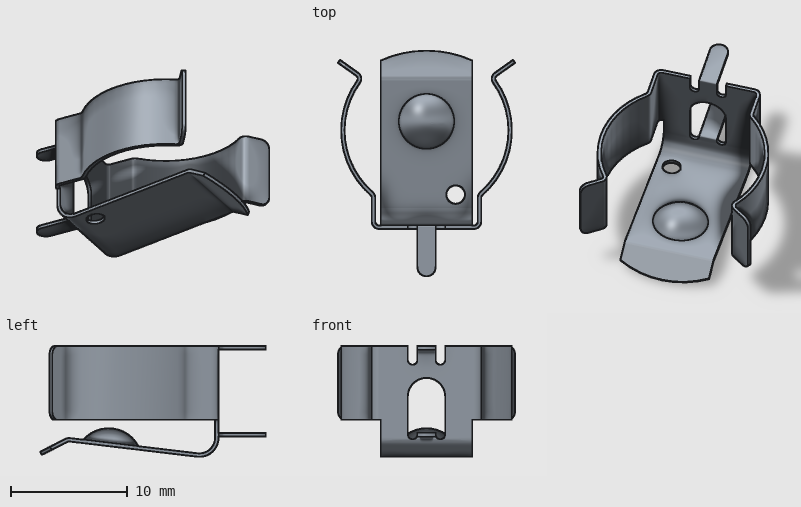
import cadquery as cq
import math

sheet = 0.315
inner_bend = 0.33
outer_bend = inner_bend + sheet

band_height = 6.35
leg_half_width = 4.70
arm_radius = 7.33
arm_centre_y = 8.46
lip_tip_x = 7.60
lip_tip_y = 14.26
lip_angle = math.radians(35.5)
lip_corner_radius = 0.76
lip_inner_bend = 0.28

strip_width = 7.874
clip_height = 9.52
strip_bend = 1.65
strip_slope = math.radians(6.8)
knee_y = 12.95
strip_end_y = 15.31
nose_slope = math.radians(27)
nose_radius = 8.6

dome_y = 9.24
dome_base_radius = 2.376
dome_height = 1.25
hole_x = 2.50
hole_y = 2.94
hole_diameter = 1.5875

tab_width = 1.5875
tab_reach = 4.05
lower_tab_z = -7.45
tab_edge_radius = 0.15
slot_width = 0.80
upper_slot_depth = 1.60
window_top_z = -2.75
lower_slot_bottom_z = -8.0

arm_inner_radius = arm_radius - sheet
bend_centre_z = strip_bend - clip_height
strip_inner_bend = strip_bend - sheet
along_strip = (math.cos(strip_slope), math.sin(strip_slope))
strip_normal = (-math.sin(strip_slope), math.cos(strip_slope))
along_nose = (math.cos(nose_slope), -math.sin(nose_slope))
nose_normal = (math.sin(nose_slope), math.cos(nose_slope))
window_half_width = tab_width / 2 + slot_width


def move(point, direction, distance):
    """Point reached by going a distance along a unit direction."""
    return (point[0] + distance * direction[0], point[1] + distance * direction[1])


def strip_top(y):
    """Point on the upper face of the sloping strip at a given Y."""
    start = move((strip_bend, bend_centre_z), strip_normal, -strip_inner_bend)
    return move(start, along_strip, (y - start[0]) / along_strip[0])


def arm_point(radius, x):
    """Point on the rear half of an arm circle."""
    return (x, arm_centre_y - math.sqrt(radius**2 - x**2))


def lip_root(tip, direction, radius):
    """Where a lip face, run back from its tip, first meets an arm circle."""
    from_centre = (tip[0], tip[1] - arm_centre_y)
    half_b = from_centre[0] * direction[0] + from_centre[1] * direction[1]
    gap = from_centre[0] ** 2 + from_centre[1] ** 2 - radius**2
    return move(tip, direction, -half_b - math.sqrt(half_b**2 - gap))


def fillet_at(body, point, axis, radius):
    """Round the edge parallel to an axis that lies nearest to a point."""
    edges = body.edges("|" + axis).edges(cq.selectors.NearestToPointSelector(point))
    return edges.fillet(radius)


def make_half_band():
    """The +X half of the band, bent from the back plate out to the lip."""
    lip_inward = (-math.cos(lip_angle), -math.sin(lip_angle))
    outer_tip = (lip_tip_x, lip_tip_y)
    inner_tip = move(outer_tip, (-math.sin(lip_angle), math.cos(lip_angle)), sheet)
    outer_root = lip_root(outer_tip, lip_inward, arm_radius)
    inner_root = lip_root(inner_tip, lip_inward, arm_inner_radius)
    outer_heel = arm_point(arm_radius, leg_half_width)
    inner_leg_x = leg_half_width - sheet
    inner_heel = arm_point(arm_inner_radius, inner_leg_x)

    half = (
        cq.Workplane("XY")
        .moveTo(0, 0)
        .lineTo(leg_half_width, 0)
        .lineTo(*outer_heel)
        .threePointArc((arm_radius, arm_centre_y), outer_root)
        .lineTo(*outer_tip)
        .lineTo(*inner_tip)
        .lineTo(*inner_root)
        .threePointArc((arm_inner_radius, arm_centre_y), inner_heel)
        .lineTo(inner_leg_x, sheet)
        .lineTo(0, sheet)
        .close()
        .extrude(-band_height)
    )
    bends = [
        ((leg_half_width, 0), outer_bend),
        ((inner_leg_x, sheet), inner_bend),
        (outer_heel, inner_bend),
        (inner_heel, outer_bend),
        (outer_root, lip_inner_bend),
        (inner_root, lip_inner_bend + sheet),
    ]
    for corner, radius in bends:
        half = fillet_at(half, (*corner, -band_height / 2), "Z", radius)

    tip_middle = ((outer_tip[0] + inner_tip[0]) / 2, (outer_tip[1] + inner_tip[1]) / 2)
    for z in (0, -band_height):
        corner = cq.selectors.NearestToPointSelector((*tip_middle, z))
        half = half.edges(corner).fillet(lip_corner_radius)
    return half


def make_strip():
    """Strip that drops from the back plate, turns forward and ends in a bent nose."""
    knee_top = strip_top(knee_y)
    half_turn = (strip_slope + nose_slope) / 2
    miter_angle = (nose_slope - strip_slope) / 2
    miter = (math.sin(miter_angle), math.cos(miter_angle))
    knee_bottom = move(knee_top, miter, -sheet / math.cos(half_turn))
    nose_length = (strip_end_y - knee_y) / along_nose[0]
    nose_top = move(knee_top, along_nose, nose_length)
    nose_bottom = move(nose_top, nose_normal, -sheet)

    bend_centre = (strip_bend, bend_centre_z)
    mid_angle = (math.pi / 2 + strip_slope) / 2
    mid_bend = (-math.cos(mid_angle), -math.sin(mid_angle))
    outer_bend_middle = move(bend_centre, mid_bend, strip_bend)
    inner_bend_middle = move(bend_centre, mid_bend, strip_inner_bend)
    strip = (
        cq.Workplane("YZ")
        .moveTo(0, -band_height)
        .lineTo(0, bend_centre_z)
        .threePointArc(outer_bend_middle, move(bend_centre, strip_normal, -strip_bend))
        .lineTo(*knee_bottom)
        .lineTo(*nose_bottom)
        .lineTo(*nose_top)
        .lineTo(*knee_top)
        .lineTo(*move(bend_centre, strip_normal, -strip_inner_bend))
        .threePointArc(inner_bend_middle, (sheet, bend_centre_z))
        .lineTo(sheet, -band_height)
        .close()
        .extrude(strip_width / 2, both=True)
    )
    strip = fillet_at(strip, (0, *knee_top), "X", outer_bend)
    strip = fillet_at(strip, (0, *knee_bottom), "X", inner_bend)
    return strip.cut(make_nose_trim(nose_top))


def make_nose_trim(nose_top):
    """Material outside the arched front edge of the nose, square to the nose."""
    half_width = strip_width / 2
    sagitta = nose_radius - math.sqrt(nose_radius**2 - half_width**2)
    plane = cq.Plane(origin=(0, *nose_top), xDir=(1, 0, 0), normal=(0, *nose_normal))
    return (
        cq.Workplane(plane)
        .moveTo(-half_width, -sagitta)
        .threePointArc((0, 0), (half_width, -sagitta))
        .lineTo(half_width, sagitta)
        .lineTo(-half_width, sagitta)
        .close()
        .extrude(2 * sheet, both=True)
    )


def strip_plane(x, y):
    """Plane lying on the upper face of the sloping strip."""
    return cq.Plane(origin=(x, *strip_top(y)), xDir=(1, 0, 0), normal=(0, *strip_normal))


def make_dome():
    """Spherical cap standing on the strip."""
    radius = (dome_base_radius**2 + dome_height**2) / (2 * dome_height)
    plane = strip_plane(0, dome_y)
    ball = cq.Workplane(plane).workplane(offset=dome_height - radius).sphere(radius)
    base = cq.Workplane(plane).workplane(offset=-sheet / 2).circle(dome_base_radius)
    above_strip = base.extrude(2 * dome_height)
    return ball.intersect(above_strip)


def make_hole():
    """Round hole square to the strip."""
    return cq.Workplane(strip_plane(hole_x, hole_y)).circle(hole_diameter / 2).extrude(2 * sheet, both=True)


def make_slots(top_z, bottom_z):
    """Round-bottomed slots on both sides of a tab."""
    half_slot = slot_width / 2
    slots = cq.Workplane("XZ")
    for side in (-1, 1):
        middle = side * (tab_width + slot_width) / 2
        slots = (
            slots.moveTo(middle - half_slot, top_z)
            .lineTo(middle - half_slot, bottom_z + half_slot)
            .threePointArc((middle, bottom_z), (middle + half_slot, bottom_z + half_slot))
            .lineTo(middle + half_slot, top_z)
            .close()
        )
    return slots.extrude(2 * sheet, both=True)


def make_window():
    """Arched window left in the back plate by the lower tab."""
    spring_z = window_top_z - window_half_width
    return (
        cq.Workplane("XZ")
        .moveTo(-window_half_width, lower_tab_z)
        .lineTo(-window_half_width, spring_z)
        .threePointArc((0, window_top_z), (window_half_width, spring_z))
        .lineTo(window_half_width, lower_tab_z)
        .close()
        .extrude(2 * sheet, both=True)
    )


def make_tab(top_z):
    """Round-ended solder tab pointing rearwards from the back plate."""
    half_width = tab_width / 2
    round_y = half_width - tab_reach
    tab = (
        cq.Workplane("XY", origin=(0, 0, top_z))
        .moveTo(-half_width, sheet)
        .lineTo(-half_width, round_y)
        .threePointArc((0, -tab_reach), (half_width, round_y))
        .lineTo(half_width, sheet)
        .close()
        .extrude(-sheet)
    )
    return fillet_at(tab, (0, sheet, top_z), "X", tab_edge_radius)


def make_back_opening():
    """Everything cut from the back plate to free the two tabs."""
    return (
        make_window()
        .union(make_slots(0, -upper_slot_depth))
        .union(make_slots(lower_tab_z, lower_slot_bottom_z))
    )


def make_tab_gap(top_z):
    """Full-thickness cut where a tab takes the place of the back plate."""
    return cq.Workplane("XY").box(tab_width, 2 * sheet, sheet).translate((0, 0, top_z - sheet / 2))


half_band = make_half_band()
result = half_band.union(half_band.mirror("YZ")).union(make_strip())
result = result.union(make_dome()).cut(make_hole())
result = result.cut(make_back_opening())
for tab_top_z in (0, lower_tab_z):
    result = result.cut(make_tab_gap(tab_top_z)).union(make_tab(tab_top_z))